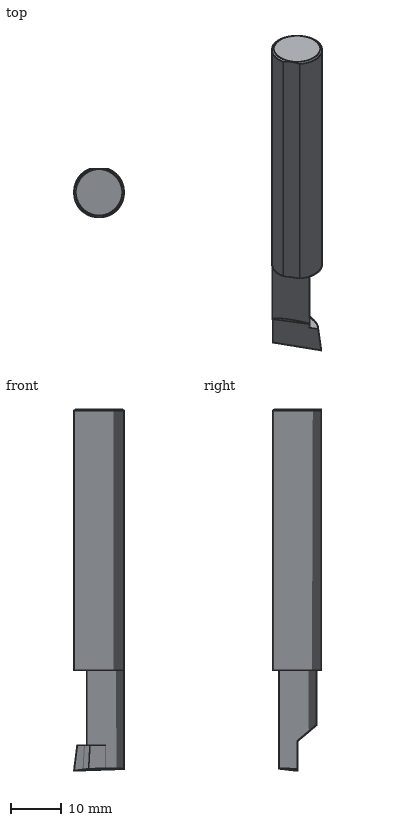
import cadquery as cq
import math

total_length = 72.0
shank_diameter = 10.0
shank_radius = shank_diameter / 2
flat_offset = 4.715
end_chamfer_width = 0.395
end_chamfer_height = 0.3

neck_length = 20.0
neck_radius = 3.75
neck_center_x = shank_radius - neck_radius

relief_end_z = 6.0
relief_angle = 40.0
relief_reach = shank_diameter

tip_height = 5.1
tip_point_x = -shank_radius
side_lean = 0.65
flank_lean = 0.3
flank_x = -3.25
flank_y = -2.6
flank_bulge_ratio = 0.065
heel_x = -2.1

end_clearance_y = 5.0
end_clearance_x = 2.0


def make_shank():
    """Round shank with a chamfered top and a flat along its +Y side."""
    round_bar = (
        cq.Workplane("XY", origin=(0, 0, neck_length))
        .circle(shank_radius)
        .extrude(total_length - neck_length)
        .faces(">Z")
        .chamfer(end_chamfer_height, end_chamfer_width)
    )
    flat_limit = cq.Workplane("XY").box(
        shank_diameter, shank_radius + flat_offset, total_length, centered=(True, False, False)
    ).translate((0, -shank_radius, 0))
    return round_bar.intersect(flat_limit)


def make_neck():
    """Offset round neck, halved at the tip with a sloped run-out."""
    neck = (
        cq.Workplane("XY")
        .center(neck_center_x, 0)
        .circle(neck_radius)
        .extrude(neck_length)
    )
    relief_rise = relief_reach * math.tan(math.radians(relief_angle))
    relief = (
        cq.Workplane("YZ")
        .polyline([
            (0, 0),
            (relief_reach, 0),
            (relief_reach, relief_end_z + relief_rise),
            (0, relief_end_z),
        ])
        .close()
        .extrude(shank_diameter, both=True)
    )
    return neck.cut(relief)


def draw_tip_outline(plane, point_lean, corner_lean):
    """Plan of the tip, with its cutting edge and flank corners leaned toward +X."""
    point_x = tip_point_x + point_lean
    corner_x = flank_x + corner_lean
    chord = math.hypot(corner_x - point_x, flank_y)
    return (
        plane.moveTo(neck_center_x, 0)
        .lineTo(point_x, 0)
        .sagittaArc((corner_x, flank_y), -flank_bulge_ratio * chord)
        .lineTo(heel_x + corner_lean, -neck_radius)
        .lineTo(neck_center_x, -neck_radius)
        .close()
    )


def make_tip():
    """Cutting tip whose side faces lean back from the end of the bar."""
    end_outline = draw_tip_outline(cq.Workplane("XY"), 0, 0)
    top_plane = end_outline.workplane(offset=tip_height)
    return draw_tip_outline(top_plane, side_lean, flank_lean).loft(ruled=True)


def make_end_clearance():
    """Block below the end face, tilted about the cutting point."""
    block_size = 4 * shank_diameter
    point = (tip_point_x, 0, 0)
    return (
        cq.Workplane("XY")
        .box(block_size, block_size, block_size, centered=(True, True, False))
        .translate((tip_point_x, 0, -block_size))
        .rotate(point, (tip_point_x + 0.7, 0, 0), -end_clearance_y)
        .rotate(point, (tip_point_x, 1, 0), -end_clearance_x)
    )


result = make_shank().union(make_neck()).union(make_tip()).cut(make_end_clearance())